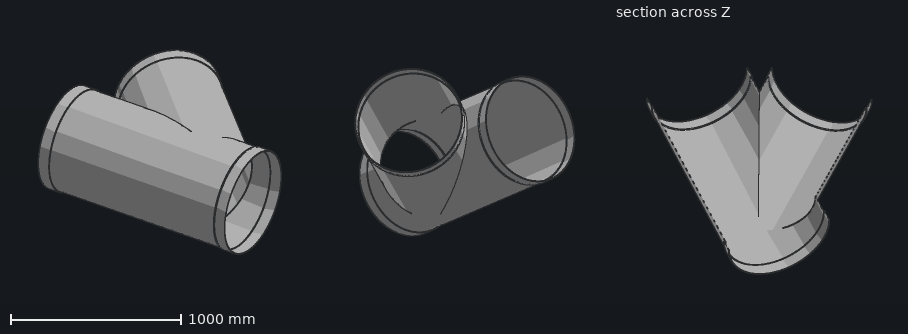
import cadquery as cq
import math

wall = 6.0
pipe_bore = 618.0
pipe_outside = pipe_bore + 2 * wall
collar_outside = pipe_outside + 2 * wall

collar_length = 76.0
socket_depth = collar_length - wall

run_length = 1284.0
reach = 956.5
branch_angle = 45.0

lean = math.radians(branch_angle)
run_direction = cq.Vector(-1, 0, 0)
branch_direction = cq.Vector(-math.cos(lean), math.sin(lean), 0)
axes_meet = cq.Vector(0, 0, 0)
run_far_end = run_direction * (reach - run_length)


def cylinder(diameter, length, start, direction):
    return cq.Workplane(cq.Solid.makeCylinder(diameter / 2, length, start, direction))


def pipe_body(start, direction, length):
    """Solid pipe body, without collars."""
    return cylinder(pipe_outside, length, start, direction)


def bore(start, direction, length):
    """Through passage of a pipe."""
    return cylinder(pipe_bore, length, start, direction)


def collar(end, outward):
    """Raised band finishing at a pipe end; outward points out of the pipe."""
    return cylinder(collar_outside, collar_length, end, outward * -1)


def socket(end, outward):
    """Enlarged bore inside a collar, as wide as the pipe outside."""
    return cylinder(pipe_outside, socket_depth, end, outward * -1)


open_ends = [
    (run_direction * reach, run_direction),
    (run_far_end, run_direction * -1),
    (branch_direction * reach, branch_direction),
]

result = pipe_body(run_far_end, run_direction, run_length)
result = result.union(pipe_body(axes_meet, branch_direction, reach))
for end, outward in open_ends:
    result = result.union(collar(end, outward))

result = result.cut(bore(run_far_end, run_direction, run_length))
result = result.cut(bore(axes_meet, branch_direction, reach))
for end, outward in open_ends:
    result = result.cut(socket(end, outward))